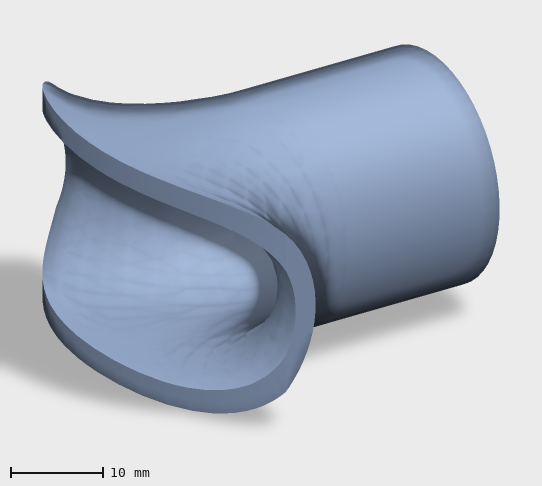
import cadquery as cq
import math

outer_radius = 26.9 / 2
inner_radius = 21.7 / 2
total_depth = 43.45
saddle_length = 45.0
flare_reach = 23.5

rim_half_length = 22.0
rim_front = 0.45

skirt_half_length = 27.0
skirt_front = -0.45
closing_y = -2.25

around_steps = 96
flare_steps = 16
skirt_steps = 6
wall_steps = 4
surface_tolerance = 0.005
sewing_tolerance = 0.02
edge_flatness = 0.005


def tube_point(radius, u):
    """Point of the circle where tube and flare meet, spaced to match pipe_point at the same u."""
    x = radius * math.cos(u) * abs(math.cos(u))
    z = radius * math.sin(u) * math.sqrt(2 - math.sin(u) ** 2)
    return cq.Vector(x, flare_reach, z)


def pipe_point(radius, half_length, front, u):
    """Point of a loop on the pipe surface whose plan shape is half an ellipse."""
    x = half_length * math.cos(u) * math.sqrt(2 - math.cos(u) ** 2)
    y = radius - (radius - front) * math.sin(u) ** 2
    z = math.copysign(math.sqrt(radius**2 - y**2), math.sin(u))
    return cq.Vector(x, y, z)


def flare_point(radius, u, t):
    """Quarter ellipse from the tube circle (t = 0) to the rim (t = 1), tangent to tube and pipe."""
    angle = t * math.pi / 2
    tube = tube_point(radius, u)
    rim = pipe_point(radius, rim_half_length, rim_front, u)
    x = rim.x + (tube.x - rim.x) * math.cos(angle)
    y = tube.y + (rim.y - tube.y) * math.sin(angle)
    z = rim.z + (tube.z - rim.z) * math.cos(angle)
    return cq.Vector(x, y, z)


def skirt_point(radius, u, t):
    """Point on the pipe surface between the rim (t = 0) and the skirt edge (t = 1)."""
    half_length = rim_half_length + (skirt_half_length - rim_half_length) * t
    front = rim_front + (skirt_front - rim_front) * t
    return pipe_point(radius, half_length, front, u)


def wall_point(radius, u, t):
    """Point between the skirt edge (t = 0) and the closing plane (t = 1), straight along Y."""
    edge = skirt_point(radius, u, 1)
    return cq.Vector(edge.x, edge.y + (closing_y - edge.y) * t, edge.z)


def band(point, steps, radius, seam_angle):
    """Smooth closed band around the Y axis with its seam at the given angle."""
    grid = []
    for i in range(around_steps + 1):
        u = seam_angle + 2 * math.pi * i / around_steps
        grid.append([point(radius, u, j / steps) for j in range(steps + 1)])
    return cq.Face.makeSplineApprox(grid, tol=surface_tolerance, minDeg=3, maxDeg=5)


def edge_at_y(face, y):
    """Edge of a band that lies in the plane at y."""
    flat_edges = [edge for edge in face.Edges() if edge.BoundingBox().ylen < edge_flatness]
    return min(flat_edges, key=lambda edge: abs(edge.Center().y - y))


def flared_volume(radius, seam_angle):
    """Solid inside the tube, the flare and the skirt of one radius."""
    circle = cq.Edge.makeCircle(radius, cq.Vector(0, flare_reach, 0), cq.Vector(0, 1, 0))
    if seam_angle < 0:
        circle = circle.mirror("XY")
    barrel = cq.occ_impl.shapes.extrude(circle, cq.Vector(0, total_depth - flare_reach, 0))
    flare = band(flare_point, flare_steps, radius, seam_angle)
    skirt = band(skirt_point, skirt_steps, radius, seam_angle)
    wall = band(wall_point, wall_steps, radius, seam_angle)
    tube_cap = cq.Face.makeFromWires(cq.Wire.assembleEdges([edge_at_y(barrel, total_depth)]))
    front_cap = cq.Face.makeFromWires(cq.Wire.assembleEdges([edge_at_y(wall, closing_y)]))
    faces = [barrel, flare, skirt, wall, tube_cap, front_cap]
    return cq.Workplane(cq.occ_impl.shapes.solid(faces, tol=sewing_tolerance))


def saddle_outline():
    """Plan outline: half an ellipse round the front, cut flat at both ends and open towards the tube."""
    height = 3 * outer_radius
    front = cq.Workplane("XY", origin=(0, outer_radius, -height / 2))
    front = front.ellipse(flare_reach, outer_radius).extrude(height)
    rear = cq.Workplane("XY").box(saddle_length, total_depth, height)
    rear = rear.translate((0, outer_radius + total_depth / 2, 0))
    ends = cq.Workplane("XY").box(saddle_length, 3 * total_depth, height)
    return front.intersect(ends).union(rear)


body = flared_volume(outer_radius, -math.pi / 2)
bore = flared_volume(inner_radius, math.pi / 2)
result = body.cut(bore).intersect(saddle_outline())